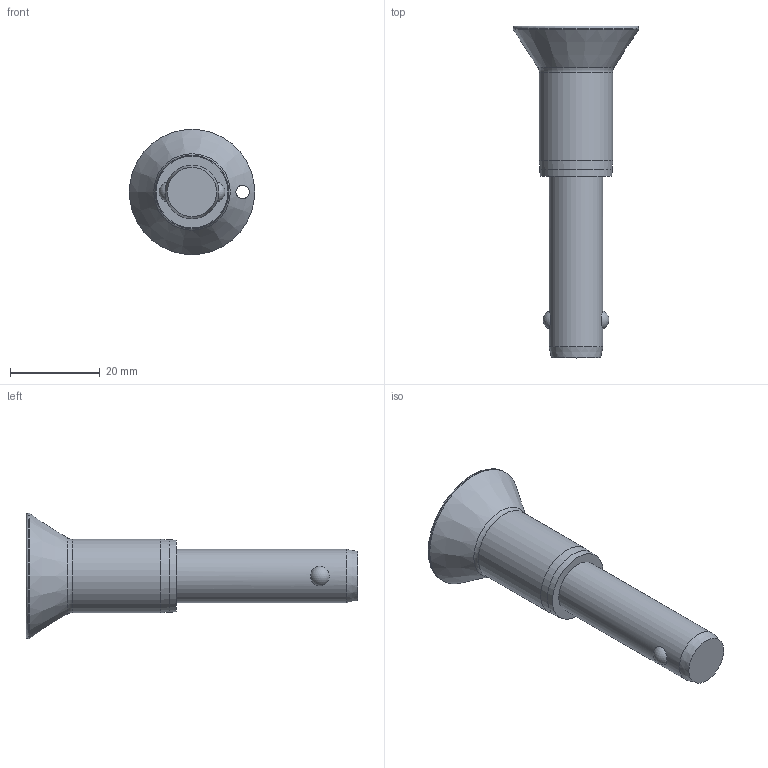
import cadquery as cq
import math

overall_length = 74.1

head_radius = 14.0
rim_thickness = 0.75
rim_round_radius = 0.5
flare_end = 9.2
neck_blend_end = 10.3
neck_blend_radius = 2.0

handle_radius = 8.2
collar_start = 30.0
collar_step = 32.0
collar_end = 33.5
collar_step_radius = 8.1
collar_end_radius = 8.0

shank_radius = 6.0
tip_length = 2.5
tip_radius = 5.5

ball_radius = 2.25
ball_reach = 7.35
ball_from_tip = 8.5

lanyard_hole_diameter = 3.0
lanyard_hole_offset = 11.3


def neck_blend_points():
    """Start and middle of the concave arc that is tangent to the handle at its end."""
    sweep = math.asin((neck_blend_end - flare_end) / neck_blend_radius)

    def point_at(angle):
        radius = handle_radius + neck_blend_radius * (1 - math.cos(angle))
        distance = neck_blend_end - neck_blend_radius * math.sin(angle)
        return (radius, -distance)

    return point_at(sweep), point_at(sweep / 2)


def make_body():
    """Head, handle, collar and shank turned as one profile about the Y axis."""
    blend_start, blend_middle = neck_blend_points()
    return (
        cq.Workplane("XY")
        .moveTo(0, 0)
        .lineTo(head_radius - rim_round_radius, 0)
        .tangentArcPoint((head_radius, -rim_round_radius), relative=False)
        .lineTo(head_radius, -rim_thickness)
        .lineTo(*blend_start)
        .threePointArc(blend_middle, (handle_radius, -neck_blend_end))
        .lineTo(handle_radius, -collar_start)
        .lineTo(collar_step_radius, -collar_step)
        .lineTo(collar_end_radius, -collar_end)
        .lineTo(shank_radius, -collar_end)
        .lineTo(shank_radius, tip_length - overall_length)
        .lineTo(tip_radius, -overall_length)
        .lineTo(0, -overall_length)
        .close()
        .revolve(360, (0, 0, 0), (0, 1, 0))
    )


def make_ball(side):
    """Locking ball standing out of the shank on the +X (1) or -X (-1) side."""
    center_x = side * (ball_reach - ball_radius)
    center_y = ball_from_tip - overall_length
    return cq.Workplane("XY").sphere(ball_radius).translate((center_x, center_y, 0))


def make_lanyard_hole():
    """Cutter for the hole through the flare, parallel to the axis."""
    return (
        cq.Workplane("XZ")
        .center(lanyard_hole_offset, 0)
        .circle(lanyard_hole_diameter / 2)
        .extrude(flare_end)
    )


result = make_body()
for side in (-1, 1):
    result = result.union(make_ball(side))
result = result.cut(make_lanyard_hole())